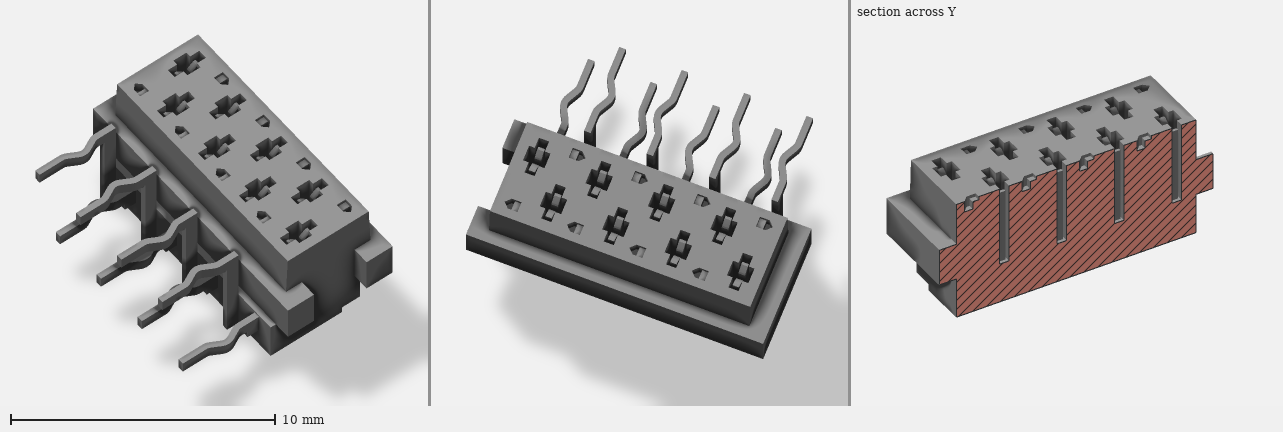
import cadquery as cq
import math


overall_depth = 8.9

flange_length = 12.09
flange_depth = 5.0
body_length = 10.59
body_height = 5.3
flange_bottom = 1.79
flange_top = 3.43
notch_width = 2.51
upper_depth_base = 4.04
upper_depth_top = 3.87
lower_front = -2.76
lower_back = 1.52
step_back = 0.65
step_height = 0.29

contact_count = 8
contact_pitch = 1.27
row_offset = 0.75
lead_width = 0.27

cavity_slot_width = 0.41
cavity_slot_length = 1.5
cavity_arm_span = 0.87
cavity_arm_width = 0.63
cavity_floor = flange_bottom

tine_outer = 0.51
tine_ledge = 0.11
tine_lip = 0.05
tine_gap = 0.2
tine_depth = 0.29
tine_slope_drop = 0.19
tine_lip_drop = 0.06

arrow_offset = 1.38
arrow_width = 0.42
arrow_length = 0.6
arrow_point = arrow_width / 2
arrow_shallow_depth = 0.15
arrow_deep_depth = 0.48

lead_thickness = 0.5
post_depth = 0.55
lead_end = flange_depth / 2 - overall_depth
lower_lead_top = 1.7
lead_row_spacing = 2 * contact_pitch
lower_post_bottom = 0.87
bend_start = -3.59
bend_length = 1.67
bend_radius = 0.47
bend_angle = math.radians(28)


def block(length, y_back, y_front, z_bottom, z_top, x_center=0):
    """Box centred on x_center that spans the given Y and Z limits."""
    size = (length, y_back - y_front, z_top - z_bottom)
    return cq.Workplane("XY").box(*size, centered=(True, False, False)).translate((x_center, y_front, z_bottom))


def make_housing():
    """Flange with an end notch, tapered upper block and stepped lower block."""
    flange = block(flange_length, flange_depth / 2, -flange_depth / 2, flange_bottom, flange_top)
    notch_depth = (flange_length - body_length) / 2
    notch_center = (flange_length - notch_depth) / 2
    flange = flange.cut(
        block(notch_depth, notch_width / 2, -notch_width / 2, flange_bottom, flange_top, notch_center)
    )
    upper = (
        cq.Workplane("YZ")
        .moveTo(-upper_depth_base / 2, flange_top)
        .lineTo(upper_depth_base / 2, flange_top)
        .lineTo(upper_depth_top / 2, body_height)
        .lineTo(-upper_depth_top / 2, body_height)
        .close()
        .extrude(body_length / 2, both=True)
    )
    lower = block(body_length, lower_back, lower_front, 0, flange_bottom)
    step = block(body_length, lower_back, step_back, 0, step_height)
    return flange.union(upper).union(lower.cut(step))


def make_cavity(x, y):
    """Cross-shaped cavity open at the top face."""
    slot_half = cavity_slot_length / 2
    arm_half = cavity_arm_width / 2
    slot = block(cavity_slot_width, y + slot_half, y - slot_half, cavity_floor, body_height, x)
    arms = block(cavity_arm_span, y + arm_half, y - arm_half, cavity_floor, body_height, x)
    return slot.union(arms)


def make_tine(x, y, side):
    """Contact tine with a lead-in slope facing the cavity centre; side is +1 toward +Y, -1 toward -Y."""
    top = body_height - tine_depth
    slope_bottom = top - tine_slope_drop
    inner = tine_gap / 2
    profile = [
        (inner, cavity_floor),
        (tine_outer, cavity_floor),
        (tine_outer, top),
        (tine_outer - tine_ledge, top),
        (inner + tine_lip, slope_bottom),
        (inner, slope_bottom - tine_lip_drop),
    ]
    points = [(y + side * offset, z) for offset, z in profile]
    return cq.Workplane("YZ", origin=(x, 0, 0)).polyline(points).close().extrude(lead_width / 2, both=True)


def make_arrow_pocket(x, y, direction):
    """Arrow-shaped pocket pointing along direction in X, deeper at the point than at its square end."""
    tail = x - direction * lead_width / 2
    step = x + direction * lead_width / 2
    shoulder = tail + direction * (arrow_length - arrow_point)
    tip = tail + direction * arrow_length
    half = arrow_width / 2
    shallow = block(
        lead_width, y + half, y - half, body_height - arrow_shallow_depth, body_height, (tail + step) / 2
    )
    outline = [(step, y - half), (shoulder, y - half), (tip, y), (shoulder, y + half), (step, y + half)]
    deep_floor = body_height - arrow_deep_depth
    deep = cq.Workplane("XY").workplane(offset=deep_floor).polyline(outline).close().extrude(arrow_deep_depth)
    return shallow.union(deep)


def make_lead_arm(x, z_center, direction):
    """Horizontal lead with a rounded sideways kink along direction in X."""
    arc_reach = bend_radius * math.sin(bend_angle)
    arc_shift = bend_radius * (1 - math.cos(bend_angle))
    half_arc_reach = bend_radius * math.sin(bend_angle / 2)
    half_arc_shift = bend_radius * (1 - math.cos(bend_angle / 2))
    ramp_reach = bend_length / 2 - 2 * arc_reach
    kink_shift = 2 * arc_shift + ramp_reach * math.tan(bend_angle)
    bend_end = bend_start - bend_length

    def at(shift, y):
        return (direction * shift, y)

    centreline = (
        cq.Workplane("XY", origin=(x, 0, z_center))
        .moveTo(*at(0, lower_front))
        .lineTo(*at(0, bend_start))
        .threePointArc(
            at(half_arc_shift, bend_start - half_arc_reach),
            at(arc_shift, bend_start - arc_reach),
        )
        .lineTo(*at(kink_shift - arc_shift, bend_start - arc_reach - ramp_reach))
        .threePointArc(
            at(kink_shift, bend_start - bend_length / 2),
            at(kink_shift - arc_shift, bend_end + arc_reach + ramp_reach),
        )
        .lineTo(*at(arc_shift, bend_end + arc_reach))
        .threePointArc(
            at(half_arc_shift, bend_end + half_arc_reach),
            at(0, bend_end),
        )
        .lineTo(*at(0, lead_end))
    )
    section = cq.Workplane("XZ", origin=(x, lower_front, z_center)).rect(lead_width, lead_thickness)
    return section.sweep(centreline)


def make_lead(x, arm_top, post_bottom, direction):
    """Vertical post on the front face with a kinked arm at its top."""
    post = block(lead_width, lower_front, lower_front - post_depth, post_bottom, arm_top, x)
    return post.union(make_lead_arm(x, arm_top - lead_thickness / 2, direction))


result = make_housing()
for index in range(contact_count):
    x_contact = (index - (contact_count - 1) / 2) * contact_pitch
    in_back_row = index % 2 == 0
    row_side = 1 if in_back_row else -1
    y_contact = row_side * row_offset
    kink_direction = 1 if index % 4 in (0, 3) else -1
    result = result.cut(make_cavity(x_contact, y_contact))
    result = result.cut(make_arrow_pocket(x_contact, -row_side * arrow_offset, -row_side))
    for tine_side in (-1, 1):
        result = result.union(make_tine(x_contact, y_contact, tine_side))
    if in_back_row:
        lead = make_lead(x_contact, lower_lead_top + lead_row_spacing, 0, kink_direction)
    else:
        lead = make_lead(x_contact, lower_lead_top, lower_post_bottom, kink_direction)
    result = result.union(lead)